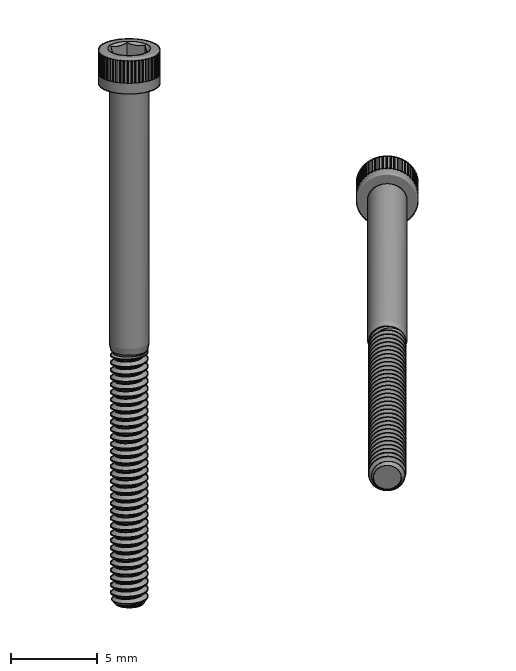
import cadquery as cq
import math

INCH = 25.4

head_diameter = 3.57
head_height = 0.086 * INCH
length_under_head = 1.25 * INCH
shank_diameter = 2.30
shank_length = 15.8
top_edge_radius = 0.12
bottom_edge_radius = 0.08

knurl_count = 50
knurl_top_gap = 0.14
knurl_bottom_depth = 1.5
knurl_depth = 0.06
land_fraction = 0.6

socket_across_flats = 5 / 64 * INCH
socket_depth = 1.0
socket_mouth_diameter = 2.46
socket_mouth_half_angle = 60
socket_floor_half_angle = 60

pitch = INCH / 56
thread_diameter = 2.16
thread_depth = 0.27
crest_width = pitch / 8
root_width = pitch / 8
shoulder_height = 0.4
runout_height = 0.35
tip_diameter = 1.6
tip_chamfer_height = 0.35
tip_groove_angle = -115

head_radius = head_diameter / 2
shank_radius = shank_diameter / 2
thread_radius = thread_diameter / 2
root_radius = thread_radius - thread_depth
tip_radius = tip_diameter / 2
under_head_z = -head_height
shank_end_z = under_head_z - shank_length
thread_top_z = shank_end_z - shoulder_height
runout_end_z = thread_top_z - runout_height
tip_z = under_head_z - length_under_head


def make_body():
    """Head, shank, shoulder and thread run-out cone turned about the Z axis."""
    profile = (
        cq.Workplane("XZ")
        .moveTo(0, 0)
        .lineTo(head_radius - top_edge_radius, 0)
        .radiusArc((head_radius, -top_edge_radius), top_edge_radius)
        .lineTo(head_radius, under_head_z + bottom_edge_radius)
        .radiusArc((head_radius - bottom_edge_radius, under_head_z), bottom_edge_radius)
        .lineTo(shank_radius, under_head_z)
        .lineTo(shank_radius, shank_end_z)
        .lineTo(thread_radius, thread_top_z)
        .lineTo(root_radius, runout_end_z)
        .lineTo(0, runout_end_z)
        .close()
    )
    return profile.revolve(360, (0, 0, 0), (0, 1, 0))


def make_knurl_grooves():
    """Ring whose inner side carries the ribs that form the V grooves, with a land centred on the X axis."""
    spacing = 2 * math.pi / knurl_count
    half_groove = spacing * (1 - land_fraction) / 2
    points = []
    for i in range(knurl_count):
        groove_angle = (i + 0.5) * spacing
        for radius, offset in [
            (head_radius, -half_groove),
            (head_radius - knurl_depth, 0),
            (head_radius, half_groove),
        ]:
            angle = groove_angle + offset
            points.append((radius * math.cos(angle), radius * math.sin(angle)))
    height = knurl_bottom_depth - knurl_top_gap
    start = cq.Workplane("XY").workplane(offset=-knurl_top_gap)
    knurled_core = start.polyline(points).close().extrude(-height)
    ring = start.circle(head_diameter).extrude(-height)
    return ring.cut(knurled_core)


def make_socket():
    """Hexagon recess with a countersunk mouth and a conical floor."""
    corner_diameter = socket_across_flats / math.cos(math.pi / 6)
    hexagon = (
        cq.Workplane("XY")
        .polygon(6, corner_diameter)
        .extrude(-socket_depth - corner_diameter)
        .rotate((0, 0, 0), (0, 0, 1), 30)
    )
    corner_radius = corner_diameter / 2
    floor_drop = corner_radius / math.tan(math.radians(socket_floor_half_angle))
    bore = (
        cq.Workplane("XZ")
        .moveTo(0, 0)
        .lineTo(corner_diameter, 0)
        .lineTo(corner_diameter, -socket_depth)
        .lineTo(corner_radius, -socket_depth)
        .lineTo(0, -socket_depth - floor_drop)
        .close()
        .revolve(360, (0, 0, 0), (0, 1, 0))
    )
    mouth_radius = socket_mouth_diameter / 2
    mouth_depth = mouth_radius / math.tan(math.radians(socket_mouth_half_angle))
    mouth = cq.Workplane("XY").add(cq.Solid.makeCone(mouth_radius, 0, mouth_depth, dir=(0, 0, -1)))
    return hexagon.intersect(bore).union(mouth)


def make_thread():
    """Right-hand thread with its core, built turn by turn from helical faces and pointed at the tip."""
    start_z = tip_z - pitch
    turns = math.ceil((thread_top_z - start_z) / pitch) + 1

    flank_height = (pitch - crest_width - root_width) / 2
    corners = [
        (root_radius, 0),
        (root_radius, root_width / 2),
        (thread_radius, root_width / 2 + flank_height),
        (thread_radius, pitch - root_width / 2 - flank_height),
        (root_radius, pitch - root_width / 2),
        (root_radius, pitch),
    ]
    helices = [
        cq.Wire.makeHelix(pitch, pitch, radius, center=cq.Vector(0, 0, height)) for radius, height in corners
    ]
    turn_faces = [cq.Face.makeRuledSurface(lower, upper) for lower, upper in zip(helices, helices[1:])]

    axis_line = cq.Wire.assembleEdges([cq.Edge.makeLine(cq.Vector(0, 0, 0), cq.Vector(0, 0, pitch))])
    floor = cq.Face.makeRuledSurface(axis_line, helices[0])
    step_outline = [cq.Vector(radius, 0, height) for radius, height in [(0, 0), *corners, (0, pitch)]]
    step = cq.Face.makeFromWires(cq.Wire.makePolygon(step_outline, close=True))

    faces = [face.translate(cq.Vector(0, 0, i * pitch)) for i in range(turns) for face in turn_faces]
    for end_height in (0, turns * pitch):
        faces += [face.translate(cq.Vector(0, 0, end_height)) for face in (floor, step)]
    thread = cq.Solid.makeSolid(cq.Shell.makeShell(faces))
    thread = cq.Workplane(thread).translate((0, 0, start_z)).rotate((0, 0, 0), (0, 0, 1), tip_groove_angle)
    return thread.cut(make_tip_cutter())


def make_tip_cutter():
    """Everything below the flat tip and outside its chamfer."""
    outer_radius = shank_radius
    cone_slope = (thread_radius - tip_radius) / tip_chamfer_height
    cone_top_z = tip_z + (outer_radius - tip_radius) / cone_slope
    bottom_z = tip_z - 2 * pitch
    profile = (
        cq.Workplane("XZ")
        .moveTo(0, tip_z)
        .lineTo(tip_radius, tip_z)
        .lineTo(outer_radius, cone_top_z)
        .lineTo(outer_radius, bottom_z)
        .lineTo(0, bottom_z)
        .close()
    )
    return profile.revolve(360, (0, 0, 0), (0, 1, 0))


head_and_shank = make_body().cut(make_knurl_grooves()).cut(make_socket())
result = head_and_shank.union(make_thread(), clean=False)